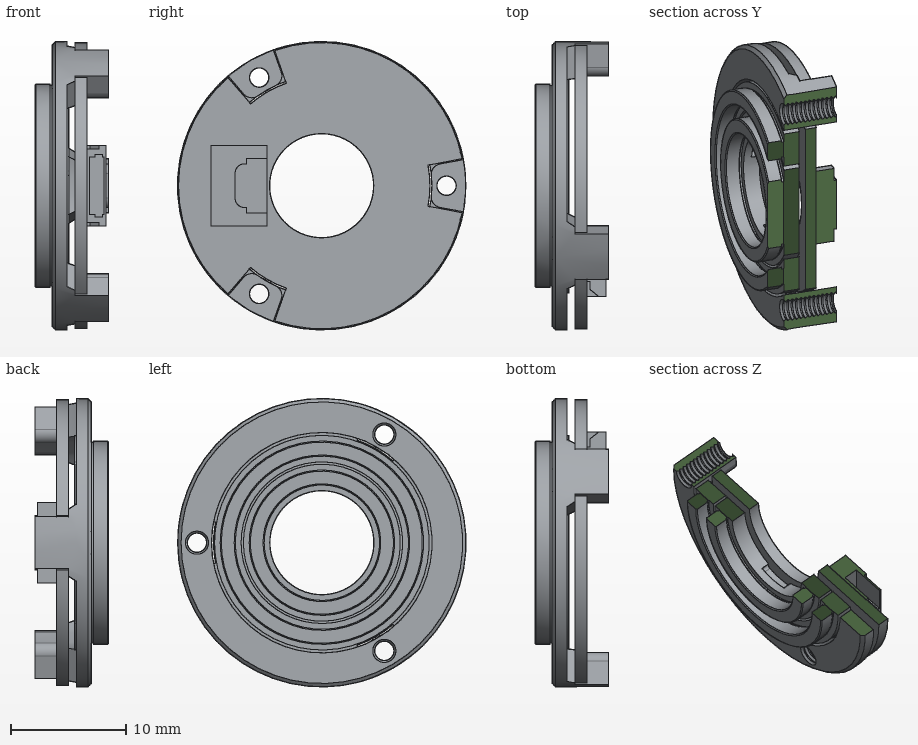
import cadquery as cq
import math


ring_length = 1.3
flange_front = 1.5
flange_back = 2.8
carrier_back = 2.95
board_front = 3.47
board_back = 4.52
leg_end = 6.4

flange_radius = 12.5
flange_bore_radius = 9.55
flange_chamfer = 0.3

leg_angles = (60, 180, 300)
leg_half_angle = 10.4
leg_fillet = 0.92
root_half_angle_at_flange = 15.6
root_half_angle_at_board = 13.5
screw_circle_radius = 10.82
screw_hole_diameter = 1.65
thread_diameter = 2.0
thread_pitch = 0.4

board_radius = 12.4
board_bore_radius = 4.5
board_notch_half_angle = 10.9
board_notch_radius = 9.4

ring_chamfer = 0.1
outer_ring_radii = (7.5, 8.805)
inner_ring_radii = (5.0, 6.3)
outer_carrier_radii = (7.0, 9.3)
inner_carrier_radii = (4.5, 6.8)

recess_angles = (30, 150, 270)
recess_half_angle = 18.5
recess_radius = 4.9
recess_depth = 0.75
recess_fillet = 0.3

connector_width = 7.0
connector_height = 1.65
connector_front = -9.6
connector_back = -4.75
opening_width = 5.0
opening_height = 1.25
opening_bottom = 0.22
opening_depth = 3.0
key_slot_width = 5.45
key_slot_height = 0.65
key_slot_bottom = 0.67
end_notch_depth = 0.3
end_notch_step = 0.25
end_notch_height = 1.02
end_notch_corner = 0.62
end_notch_length = 1.3
latch_thickness = leg_end - board_back - connector_height
latch_width = 4.7
latch_front = -6.5
pad_width = 3.8
pad_front = -7.5
pad_fillet = 0.82


def polar(radius, angle):
    """Point (y, z) at an angle in degrees that starts at -Y and turns toward +Z."""
    turn = math.radians(angle)
    return -radius * math.cos(turn), radius * math.sin(turn)


def tube(inner_radius, outer_radius, start, end):
    """Tube around the X axis between two X stations."""
    ring = cq.Workplane("YZ", origin=(start, 0, 0)).circle(outer_radius).circle(inner_radius)
    return ring.extrude(end - start)


def wedge_outline(start, angle, half_angle):
    """Triangle in the YZ plane at an X station, from the axis out past the flange."""
    reach = 2 * flange_radius
    outline = cq.Workplane("YZ", origin=(start, 0, 0)).moveTo(0, 0)
    return outline.lineTo(*polar(reach, angle - half_angle)).lineTo(*polar(reach, angle + half_angle)).close()


def sector(radii, stations, angle, half_angle):
    """Ring sector between two radii and two X stations."""
    start, end = stations
    wedge = wedge_outline(start, angle, half_angle).extrude(end - start)
    return tube(*radii, start, end).intersect(wedge)


def corners_near(radius, angle, half_angle):
    """Selector for the corners of a sector at the given radius."""
    reach = radius * math.sin(math.radians(half_angle)) + 0.25
    y, z = polar(radius, angle)
    return cq.selectors.BoxSelector((0, y - reach, z - reach), (leg_end, y + reach, z + reach))


def leg(angle):
    """Leg from the flange back to the end, with rounded inner corners."""
    radii = (flange_bore_radius, flange_radius)
    body = sector(radii, (flange_back, leg_end), angle, leg_half_angle)
    return body.edges("|X").edges(corners_near(flange_bore_radius, angle, leg_half_angle)).fillet(leg_fillet)


def leg_root(angle):
    """Tapered foot of a leg that carries the circuit board."""
    base = wedge_outline(flange_back, angle, root_half_angle_at_flange).wire().val()
    top = wedge_outline(board_front, angle, root_half_angle_at_board).wire().val()
    taper = cq.Workplane(cq.Solid.makeLoft([base, top], True))
    return tube(flange_bore_radius, flange_radius, flange_back, board_front).intersect(taper)


def threaded_hole(angle):
    """Through hole with V-shaped thread grooves, as a cutting solid."""
    core = screw_hole_diameter / 2
    crest = thread_diameter / 2
    y, z = polar(screw_circle_radius, angle)
    turns = math.floor((leg_end - flange_front) / thread_pitch)
    outline = cq.Workplane("XY").moveTo(flange_front, 0).lineTo(flange_front, crest)
    for turn in range(turns):
        groove = flange_front + turn * thread_pitch
        outline = outline.lineTo(groove + thread_pitch / 2, core).lineTo(groove + thread_pitch, crest)
    outline = outline.lineTo(leg_end, core).lineTo(leg_end, 0).close()
    return outline.revolve(360, (0, 0, 0), (1, 0, 0)).translate((0, y, z))


def make_housing():
    """Flange with three threaded legs."""
    body = tube(flange_bore_radius, flange_radius, flange_front, flange_back)
    body = body.faces("<X").edges(cq.selectors.RadiusNthSelector(-1)).chamfer(flange_chamfer)
    for angle in leg_angles:
        body = body.union(leg_root(angle)).union(leg(angle))
    for angle in leg_angles:
        body = body.cut(threaded_hole(angle))
    return body


def make_board():
    """Circuit board, notched where the legs pass."""
    body = tube(board_bore_radius, board_radius, board_front, board_back)
    for angle in leg_angles:
        radii = (board_notch_radius, flange_radius)
        body = body.cut(sector(radii, (board_front, board_back), angle, board_notch_half_angle))
    return body


def make_contact_ring(radii):
    """Contact ring with chamfered front edges and a narrower neck on its carrier."""
    inner, outer = radii
    rim = tube(inner, outer, 0, ring_length).faces("<X").edges().chamfer(ring_chamfer)
    return rim.union(tube(inner + ring_chamfer, outer - ring_chamfer, ring_length, flange_front))


def make_carrier(radii):
    """Plain carrier that a contact ring sits on."""
    return tube(*radii, flange_front, carrier_back)


def bore_recess(angle):
    """Shallow recess at the back end of the inner carrier's bore, as a cutting solid."""
    radii = (inner_carrier_radii[0] / 2, recess_radius)
    stations = (carrier_back - recess_depth, carrier_back)
    body = sector(radii, stations, angle, recess_half_angle)
    return body.edges("|X").edges(corners_near(recess_radius, angle, recess_half_angle)).fillet(recess_fillet)


def make_inner_carrier():
    """Inner carrier with three recesses in its bore."""
    body = make_carrier(inner_carrier_radii)
    for angle in recess_angles:
        body = body.cut(bore_recess(angle))
    return body


def connector_box(bottom, height, width, front, back):
    """Box centred on Z; bottom is measured from the board's back face."""
    corner = (board_back + bottom, front, -width / 2)
    return cq.Workplane("XY").box(height, back - front, width, centered=False).translate(corner)


def end_notch(side):
    """Notch for a solder tab at one end of the connector, as a cutting solid."""
    outline = [
        (board_back, connector_front),
        (board_back + end_notch_height, connector_front),
        (board_back + end_notch_step, connector_front + end_notch_corner),
        (board_back + end_notch_step, connector_front + end_notch_length),
        (board_back, connector_front + end_notch_length),
    ]
    body = cq.Workplane("XY").polyline(outline).close().extrude(end_notch_depth)
    if side > 0:
        return body.translate((0, 0, connector_width / 2 - end_notch_depth))
    return body.translate((0, 0, -connector_width / 2))


def make_connector():
    """Connector shell with its opening, key slot, solder-tab notches and latch."""
    body = connector_box(0, connector_height, connector_width, connector_front, connector_back)
    opening_back = connector_front + opening_depth
    body = body.cut(
        connector_box(opening_bottom, opening_height, opening_width, connector_front, opening_back)
    )
    body = body.cut(
        connector_box(key_slot_bottom, key_slot_height, key_slot_width, connector_front, opening_back)
    )
    for side in (-1, 1):
        body = body.cut(end_notch(side))
    latch = connector_box(connector_height, latch_thickness, latch_width, latch_front, connector_back)
    pad = connector_box(connector_height, latch_thickness, pad_width, pad_front, latch_front)
    pad = pad.faces("<Y").edges("|X").fillet(pad_fillet)
    return body.union(latch).union(pad)


housing = make_housing()
board = make_board()
outer_ring = make_contact_ring(outer_ring_radii)
inner_ring = make_contact_ring(inner_ring_radii)
outer_carrier = make_carrier(outer_carrier_radii)
inner_carrier = make_inner_carrier()
connector = make_connector()

result = cq.Compound.makeCompound(
    [
        housing.val(),
        board.val(),
        outer_ring.val(),
        inner_ring.val(),
        outer_carrier.val(),
        inner_carrier.val(),
        connector.val(),
    ]
)